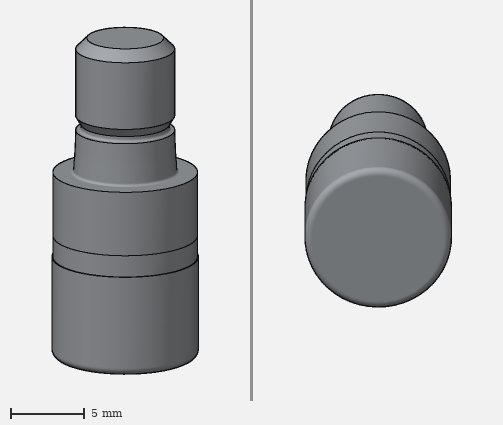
import cadquery as cq
import math

total_height = 22.5
collar_height = 7.0
base_height = 8.5
shoulder_height = 13.0
seat_height = 16.0
thread_bottom = 17.0

collar_radius = 5.0
body_radius = 4.93
seat_bottom_radius = 3.5
seat_top_radius = 3.38
thread_radius = 3.38
groove_radius = 3.02

base_fillet = 0.5
neck_fillet = 0.2
tip_chamfer = 0.76
groove_flare_height = 0.6


def fillet_middle(radius, height, fillet):
    """Midpoint of a concave quarter arc between a vertical wall and the floor at this height."""
    inset = fillet * (1 - math.sin(math.radians(45)))
    return radius + inset, height + inset


def make_base():
    """Round base with a rounded foot and a slightly narrower neck."""
    collar = cq.Workplane("XY").circle(collar_radius).extrude(collar_height)
    collar = collar.faces("<Z").edges().fillet(base_fillet)
    neck = (
        cq.Workplane("XY", origin=(0, 0, collar_height))
        .circle(body_radius)
        .extrude(base_height - collar_height)
    )
    return collar.union(neck)


def make_stud():
    """Shoulder, tapered seat, relief groove and chamfered end, revolved about Z."""
    profile = (
        cq.Workplane("XZ")
        .moveTo(0, base_height)
        .lineTo(body_radius, base_height)
        .lineTo(body_radius, shoulder_height)
        .lineTo(seat_bottom_radius + neck_fillet, shoulder_height)
        .threePointArc(
            fillet_middle(seat_bottom_radius, shoulder_height, neck_fillet),
            (seat_bottom_radius, shoulder_height + neck_fillet),
        )
        .lineTo(seat_top_radius, seat_height)
        .lineTo(groove_radius + neck_fillet, seat_height)
        .threePointArc(
            fillet_middle(groove_radius, seat_height, neck_fillet),
            (groove_radius, seat_height + neck_fillet),
        )
        .lineTo(groove_radius, thread_bottom - groove_flare_height)
        .lineTo(thread_radius, thread_bottom)
        .lineTo(thread_radius, total_height - tip_chamfer)
        .lineTo(thread_radius - tip_chamfer, total_height)
        .lineTo(0, total_height)
        .close()
    )
    return profile.revolve(360, (0, 0, 0), (0, 1, 0))


base = make_base()
stud = make_stud()

result = cq.Compound.makeCompound([base.val(), stud.val()])